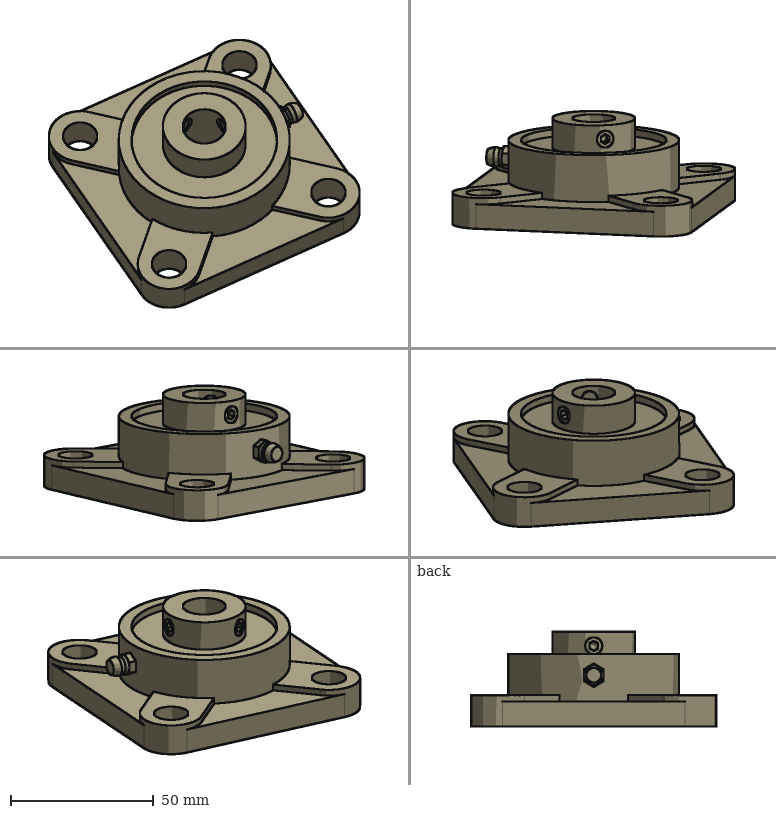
import cadquery as cq
import math


flange_width = 86.0
corner_radius = 11.0
plate_thickness = 8.8
pad_height = 11.0
bolt_offset = flange_width / 2 - corner_radius
bolt_diameter = 12.0

housing_diameter = 60.0
rim_height = 25.5
recess_diameter = 51.0
recess_floor = 22.9

ring_diameter = 29.06
bore_diameter = 15.0
ring_top = 33.3

screw_angles = (90.0, 210.0)
screw_height = 28.3
screw_diameter = 6.0
screw_outer_radius = 14.2
screw_inner_radius = 8.0
socket_across_flats = 3.0
socket_depth = 3.0
socket_cone_depth = 0.9
hex_corner_ratio = 1 / math.cos(math.radians(30))

nipple_height = 18.0
nipple_hex_across_flats = 7.0
nipple_hex_root = 28.0
nipple_hex_face = 32.4
nipple_collar_radius = 3.5
nipple_neck_y = 33.7
nipple_neck_radius = 3.1
nipple_head_y = 35.4
nipple_head_radius = 3.5
nipple_tip_y = 38.2
nipple_tip_radius = 2.6
nipple_nose_bulge = 0.2


def make_flange():
    """Thin cross-shaped plate joined to a thicker round-ended pad on each diagonal.

    The pad ends fill the missing corners of the cross and round the square outline.
    """
    flange = (
        cq.Workplane("XY")
        .rect(flange_width, 2 * bolt_offset)
        .extrude(plate_thickness)
    )
    crossing = (
        cq.Workplane("XY")
        .rect(2 * bolt_offset, flange_width)
        .extrude(plate_thickness)
    )
    flange = flange.union(crossing)
    bolt_span = 2 * math.hypot(bolt_offset, bolt_offset)
    pad_length = bolt_span + 2 * corner_radius
    for diagonal in (45, 135):
        pad = (
            cq.Workplane("XY")
            .slot2D(pad_length, 2 * corner_radius, diagonal)
            .extrude(pad_height)
        )
        flange = flange.union(pad)
    return flange


def make_housing():
    """Round body with a shallow recess in its upper face."""
    body = (
        cq.Workplane("XY")
        .circle(housing_diameter / 2)
        .extrude(rim_height)
    )
    recess = (
        cq.Workplane("XY")
        .workplane(offset=recess_floor)
        .circle(recess_diameter / 2)
        .extrude(rim_height - recess_floor)
    )
    return body.cut(recess)


def radial_plane(angle, radius):
    """Workplane facing outward from the bore axis, with its local Y along Z."""
    direction = cq.Vector(math.cos(math.radians(angle)), math.sin(math.radians(angle)), 0)
    origin = direction * radius + cq.Vector(0, 0, screw_height)
    sideways = cq.Vector(0, 0, 1).cross(direction)
    return cq.Workplane(cq.Plane(origin=origin, xDir=sideways, normal=direction))


def make_screw_hole(angle):
    """Radial hole from the bore axis out through the inner ring."""
    return radial_plane(angle, 0).circle(screw_diameter / 2).extrude(ring_diameter / 2)


def make_screw(angle):
    """Set screw with a hexagon socket, one socket corner pointing up and a conical bottom."""
    screw_length = screw_outer_radius - screw_inner_radius
    screw = radial_plane(angle, screw_inner_radius).circle(screw_diameter / 2).extrude(screw_length)
    socket = (
        radial_plane(angle, screw_outer_radius)
        .transformed(rotate=(0, 0, 90))
        .polygon(6, socket_across_flats * hex_corner_ratio)
        .extrude(-socket_depth)
    )
    socket_end = radial_plane(angle, screw_outer_radius - socket_depth).plane
    cone = cq.Workplane(
        cq.Solid.makeCone(
            socket_across_flats / 2, 0, socket_cone_depth, socket_end.origin, -socket_end.zDir
        )
    )
    return screw.cut(socket).cut(cone)


def make_nipple():
    """Hexagon base, with one corner pointing up, and a turned head along +Y."""
    base = (
        cq.Workplane("XZ", origin=(0, nipple_hex_root, nipple_height))
        .transformed(rotate=(0, 0, 90))
        .polygon(6, nipple_hex_across_flats * hex_corner_ratio)
        .extrude(nipple_hex_root - nipple_hex_face)
    )
    nose_middle = (
        (nipple_head_radius + nipple_tip_radius) / 2 + nipple_nose_bulge,
        (nipple_head_y + nipple_tip_y) / 2,
    )
    head = (
        cq.Workplane("XY", origin=(0, 0, nipple_height))
        .moveTo(0, nipple_hex_face)
        .lineTo(nipple_collar_radius, nipple_hex_face)
        .lineTo(nipple_neck_radius, nipple_neck_y)
        .lineTo(nipple_head_radius, nipple_head_y)
        .threePointArc(nose_middle, (nipple_tip_radius, nipple_tip_y))
        .lineTo(0, nipple_tip_y)
        .close()
        .revolve(360, (0, 0, 0), (0, 1, 0))
    )
    return base.union(head)


ring = cq.Workplane("XY").circle(ring_diameter / 2).extrude(ring_top)
bore = cq.Workplane("XY").circle(bore_diameter / 2).extrude(ring_top)
bolt_holes = (
    cq.Workplane("XY")
    .rect(2 * bolt_offset, 2 * bolt_offset, forConstruction=True)
    .vertices()
    .circle(bolt_diameter / 2)
    .extrude(pad_height)
)

result = make_flange().union(make_housing()).union(ring).union(make_nipple())
result = result.cut(bolt_holes).cut(bore)
for screw_angle in screw_angles:
    result = result.cut(make_screw_hole(screw_angle)).union(make_screw(screw_angle))